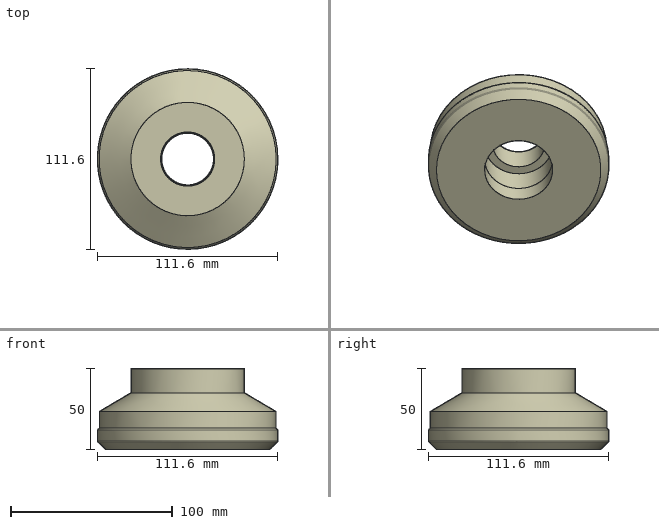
import cadquery as cq

total_height = 50.0
rim_radius = 55.8
rim_height = 13.2

rim_top_chamfer = 1.1
rim_bottom_chamfer = 5.0
rim_edge_rounding = 1.0

skirt_radius = rim_radius - rim_top_chamfer
skirt_top = 23.4
neck_radius = 35.0
neck_height = 15.0
neck_bottom = total_height - neck_height

bore_radius = 16.0
bore_chamfer = 0.8
bore_depth = 19.1
cavity_radius = 21.0
cavity_top = total_height - bore_depth


def revolve_profile(points):
    """Turn a closed (radius, height) outline about the Z axis."""
    return cq.Workplane("XZ").polyline(points).close().revolve(360, (0, 0, 0), (0, 1, 0))


def make_hub():
    """Stepped hub: short skirt, conical shoulder and neck, with a chamfered bore over a cavity."""
    return revolve_profile([
        (cavity_radius, rim_height),
        (skirt_radius, rim_height),
        (skirt_radius, skirt_top),
        (neck_radius, neck_bottom),
        (neck_radius, total_height),
        (bore_radius + bore_chamfer, total_height),
        (bore_radius, total_height - bore_chamfer),
        (bore_radius, cavity_top),
        (cavity_radius, cavity_top),
    ])


def make_rim():
    """Ring under the hub, bevelled at top and bottom, with both bevels blended into its side."""
    ring = revolve_profile([
        (cavity_radius, 0),
        (rim_radius - rim_bottom_chamfer, 0),
        (rim_radius, rim_bottom_chamfer),
        (rim_radius, rim_height - rim_top_chamfer),
        (rim_radius - rim_top_chamfer, rim_height),
        (cavity_radius, rim_height),
    ])
    side_edges = ring.edges("%CIRCLE").edges(cq.selectors.RadiusNthSelector(-1))
    return side_edges.fillet(rim_edge_rounding)


hub = make_hub()
rim = make_rim()

result = cq.Compound.makeCompound([hub.val(), rim.val()])